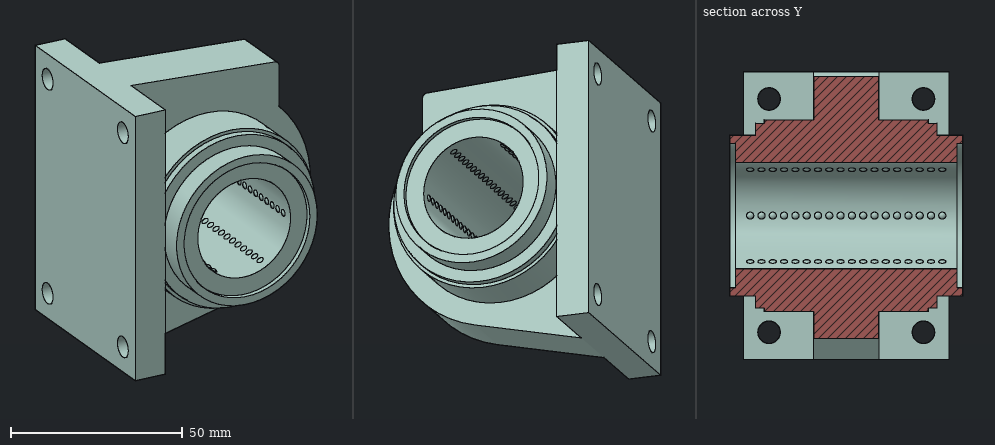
import cadquery as cq
import math

plate_width = 60.0
plate_height = 84.0
plate_thickness = 10.0
screw_hole_diameter = 6.5
screw_spacing_x = 45.0
screw_spacing_z = 68.0

axis_y = 35.0

web_thickness = 19.0
web_round_radius = 34.95
web_back_y = 59.5
web_top_drop = 2.7
web_corner_radius = 1.5

barrel_diameter = 56.0
barrel_length = 48.0
collar_diameter = 54.0
collar_length = 53.0
sleeve_diameter = 47.0
sleeve_length = 68.0
recess_diameter = 42.0
recess_depth = 1.7
bore_diameter = 31.0

row_count = 6
balls_per_row = 18
ball_row_length = 56.0
ball_radius = 1.35
ball_protrusion = 0.5


def cylinder_on_axis(diameter, length):
    """Cylinder on the bearing axis, centred on X = 0."""
    return (
        cq.Workplane("YZ", origin=(0, axis_y, 0))
        .circle(diameter / 2)
        .extrude(length / 2, both=True)
    )


def mounting_plate():
    plate = cq.Workplane("XY").box(
        plate_width, plate_thickness, plate_height, centered=(True, False, True)
    )
    holes = (
        cq.Workplane("XZ")
        .rect(screw_spacing_x, screw_spacing_z, forConstruction=True)
        .vertices()
        .circle(screw_hole_diameter / 2)
        .extrude(-plate_thickness)
    )
    return plate.cut(holes)


def web():
    """Side profile in YZ: sloping top, rounded back corner, round back, tangent underside."""
    top_z = plate_height / 2
    bottom_z = -plate_height / 2

    back_z = math.sqrt(web_round_radius**2 - (web_back_y - axis_y) ** 2)

    corner_dy = plate_thickness - axis_y
    corner_distance = math.hypot(corner_dy, bottom_z)
    corner_angle = math.atan2(bottom_z, corner_dy)
    tangent_angle = corner_angle + math.acos(web_round_radius / corner_distance)
    tangent_y = axis_y + web_round_radius * math.cos(tangent_angle)
    tangent_z = web_round_radius * math.sin(tangent_angle)

    profile = (
        cq.Workplane("YZ")
        .moveTo(plate_thickness, bottom_z)
        .lineTo(plate_thickness, top_z)
        .lineTo(web_back_y, top_z - web_top_drop)
        .lineTo(web_back_y, back_z)
        .threePointArc((axis_y + web_round_radius, 0), (tangent_y, tangent_z))
        .close()
    )
    blank = profile.extrude(web_thickness / 2, both=True)
    corner = cq.selectors.NearestToPointSelector((0, web_back_y, top_z - web_top_drop))
    return blank.edges(corner).fillet(web_corner_radius)


def housing():
    return (
        cylinder_on_axis(barrel_diameter, barrel_length)
        .union(cylinder_on_axis(collar_diameter, collar_length))
        .union(cylinder_on_axis(sleeve_diameter, sleeve_length))
    )


def end_recesses():
    """Shallow counterbores in both ends of the sleeve."""
    recess = cylinder_on_axis(recess_diameter, sleeve_length)
    core = cylinder_on_axis(recess_diameter, sleeve_length - 2 * recess_depth)
    return recess.cut(core)


def bearing_balls():
    """Balls sunk in the bore wall, in straight rows evenly spaced around the axis."""
    centre_radius = bore_diameter / 2 - ball_protrusion + ball_radius
    first_x = -ball_row_length / 2
    ball_pitch = ball_row_length / (balls_per_row - 1)
    balls = []
    for row in range(row_count):
        angle = 2 * math.pi * row / row_count
        y = axis_y + centre_radius * math.cos(angle)
        z = centre_radius * math.sin(angle)
        for index in range(balls_per_row):
            x = first_x + index * ball_pitch
            balls.append(cq.Workplane("XY").sphere(ball_radius).translate((x, y, z)).val())
    return balls


body = mounting_plate().union(web()).union(housing())
body = body.cut(end_recesses())
body = body.cut(cylinder_on_axis(bore_diameter, sleeve_length))
result = cq.Workplane(obj=body.val().fuse(*bearing_balls()))